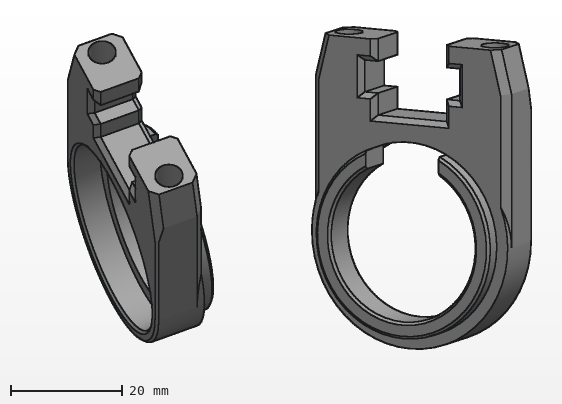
import cadquery as cq
import math

height = 56.0
width = 40.0
plate_thickness = 9.5
half_width = width / 2
ring_z = half_width
rim_chamfer = 0.5

shoulder_half_width = 18.0
shoulder_height = 7.95
shoulder_chamfer = 1.45

bore_diameter = 29.4
seat_diameter = 35.5
seat_depth = 5.65
spigot_length = 2.95
gap_width = 14.85
back_y = plate_thickness + spigot_length

throat_half_width = 7.0
pocket_half_width = 9.7
pocket_top_depth = 4.15
pocket_bottom_depth = 9.95
slot_depth = 14.0
slot_chamfer = 1.0

screw_diameter = 5.0
screw_spacing = 29.8
screw_depth = slot_depth

clearance = 2.8


def front_plane(y):
    """XZ plane at the given Y; extrusions from it run toward -Y."""
    return cq.Workplane("XZ", origin=(0, y, 0))


def disc(diameter, start_y, end_y):
    """Cylinder along Y, concentric with the bore."""
    return front_plane(end_y).center(0, ring_z).circle(diameter / 2).extrude(end_y - start_y)


def wedge(start, end, size, face_y, inward):
    """45 degree cutter for the right-hand outline edge running from start to end (X, Z).

    The edge is lengthened both ways; inward is +1 or -1, the Y direction into the plate.
    """
    dx = end[0] - start[0]
    dz = end[1] - start[1]
    length = math.hypot(dx, dz)
    plane = cq.Plane(
        origin=(start[0], face_y, start[1]),
        xDir=(-dz / length, 0, dx / length),
        normal=(dx / length, 0, dz / length),
    )
    y_sign = inward * plane.yDir.y
    triangle = [
        (size + clearance, -clearance * y_sign),
        (-size - clearance, -clearance * y_sign),
        (clearance, (size + clearance) * y_sign),
    ]
    return cq.Workplane(plane).workplane(offset=-height).polyline(triangle).close().extrude(2 * height)


def make_arms():
    """Straight upper plate with tapered shoulders and chamfered side edges."""
    foot = (half_width, ring_z)
    shoulder = (half_width, height - shoulder_height)
    tip = (shoulder_half_width, height)
    right_side = [foot, shoulder, tip]
    left_side = [(-x, z) for x, z in reversed(right_side)]
    arms = front_plane(plate_thickness).polyline(right_side + left_side).close().extrude(plate_thickness)
    cutters = [
        wedge(tip, shoulder, shoulder_chamfer, 0, 1),
        wedge(tip, shoulder, shoulder_chamfer, plate_thickness, -1),
        wedge(shoulder, foot, rim_chamfer, 0, 1),
        wedge(shoulder, foot, shoulder_chamfer, plate_thickness, -1),
    ]
    for cutter in cutters:
        arms = arms.cut(cutter).cut(cutter.mirror("YZ"))
    return arms


def make_ring():
    """Full round end with a chamfered front rim."""
    return disc(width, 0, plate_thickness).faces("<Y").chamfer(rim_chamfer)


def make_spigot():
    """Rear centring boss with a chamfered end."""
    return disc(seat_diameter, plate_thickness, back_y).faces(">Y").chamfer(rim_chamfer)


def flared_mouth(diameter, face_y, direction):
    """Cone for a rim chamfer on a hole; direction is the Y sign pointing into the part."""
    radius = diameter / 2
    return cq.Workplane(
        cq.Solid.makeCone(
            radius + rim_chamfer,
            radius,
            rim_chamfer,
            cq.Vector(0, face_y, ring_z),
            cq.Vector(0, direction, 0),
        )
    )


def make_bore():
    """Through bore and front seat with chamfered mouths, and the gap at the top of the inner ledge."""
    bore = disc(bore_diameter, 0, back_y).union(flared_mouth(bore_diameter, back_y, -1))
    seat = disc(seat_diameter, 0, seat_depth).union(flared_mouth(seat_diameter, 0, 1))
    gap_block = cq.Workplane("XY").box(gap_width, back_y, half_width, centered=(True, False, False))
    gap = gap_block.translate((0, 0, ring_z)).intersect(disc(seat_diameter, 0, back_y))
    return bore.union(seat).union(gap)


def slot_outline(growth):
    """Stepped slot outline, offset outward by growth and open past the top."""
    throat = throat_half_width + growth
    pocket = pocket_half_width + growth
    pocket_top = height - pocket_top_depth + growth
    pocket_bottom = height - pocket_bottom_depth - growth
    floor = height - slot_depth - growth
    right_side = [
        (throat, floor),
        (throat, pocket_bottom),
        (pocket, pocket_bottom),
        (pocket, pocket_top),
        (throat, pocket_top),
        (throat, height + clearance),
    ]
    return right_side + [(-x, z) for x, z in reversed(right_side)]


def make_slot():
    """Stepped slot through the plate with mitred chamfers on both faces."""
    slot = front_plane(plate_thickness).polyline(slot_outline(0)).close().extrude(plate_thickness)
    for face_y, inner_y in (
        (0, slot_chamfer),
        (plate_thickness, plate_thickness - slot_chamfer),
    ):
        flare = (
            front_plane(face_y)
            .polyline(slot_outline(slot_chamfer))
            .close()
            .workplane(offset=face_y - inner_y)
            .polyline(slot_outline(0))
            .close()
            .loft(ruled=True)
        )
        slot = slot.union(flare)
    return slot


def make_screw_holes():
    """Blind vertical holes, one in each arm, centred in the plate thickness."""
    return (
        cq.Workplane("XY", origin=(0, plate_thickness / 2, height - screw_depth))
        .pushPoints([(-screw_spacing / 2, 0), (screw_spacing / 2, 0)])
        .circle(screw_diameter / 2)
        .extrude(screw_depth)
    )


body = make_arms().union(make_ring()).union(make_spigot())
result = body.cut(make_bore()).cut(make_slot()).cut(make_screw_holes())